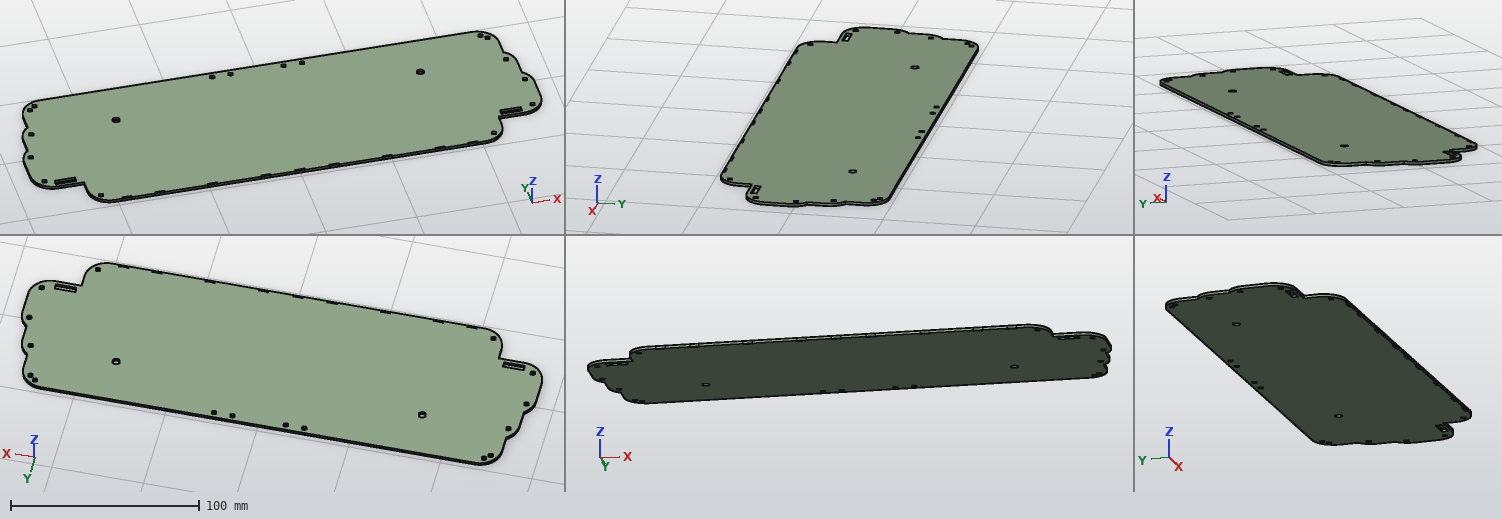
import cadquery as cq
import math

length = 280.0
width = 94.3
thickness = 1.6
corner_radius = 12.0

half_end = length / 2
half_middle = 135.5
half_back = 130.5
half_front = 113.7

back_y = width / 2
front_y = -back_y
back_step_y = back_y - 21.3
middle_step_y = back_y - 41.0
shoulder_y = front_y + 19.0

screw_diameter = 2.5
mount_diameter = 4.0
mount_x = 83.5
mount_y = back_y - 27.0
back_row_y = back_y - 3.4
back_row_x = (14.5, 24.5)
edge_screws = (
    (122.3, back_y - 4.2),
    (125.5, back_y - 7.0),
    (130.2, back_y - 27.7),
    (135.5, back_y - 47.0),
    (133.8, back_y - 69.1),
    (107.8, front_y + 6.0),
)

left_strap_x = -123.0
right_strap_x = 121.5
strap_y = shoulder_y + 3.5
strap_length = 11.2
strap_width = 3.0

fine_slot_x = (18.8, 48.0, 76.7, 95.0)
fine_slot_length = 5.0
fine_slot_width = 0.78
fine_slot_y = front_y + 0.67


def mirrored(points):
    """Return the points together with their mirror images across X = 0."""
    return [(side * x, y) for x, y in points for side in (1, -1)]


def centred_block(half_length, top_y, bottom_y):
    """Full-thickness block, symmetric about X = 0."""
    return (
        cq.Workplane("XY")
        .center(0, (top_y + bottom_y) / 2)
        .rect(2 * half_length, top_y - bottom_y)
        .extrude(thickness)
        .translate((0, 0, -thickness / 2))
    )


def rounded_step(half_length, inner_half_length, step_y):
    """Block with rounded corners whose back arcs meet the narrower body at step_y."""
    inset = half_length - inner_half_length
    drop = math.sqrt(corner_radius**2 - (corner_radius - inset) ** 2)
    block_top = step_y - drop + corner_radius
    block = centred_block(half_length, block_top, shoulder_y)
    return block.edges("|Z").fillet(corner_radius)


def make_plate():
    back = centred_block(half_back, back_y, shoulder_y)
    back = back.edges("|Z").fillet(corner_radius)
    middle = rounded_step(half_middle, half_back, back_step_y)
    ends = rounded_step(half_end, half_middle, middle_step_y)
    front = centred_block(half_front, back_step_y, front_y)
    front = front.edges("|Z and <Y").fillet(corner_radius)
    return ends.union(middle).union(back).union(front)


def cut_holes(plate, points, diameter):
    sketch = cq.Workplane("XY").pushPoints(points).circle(diameter / 2)
    return plate.cut(sketch.extrude(thickness, both=True))


def cut_slots(plate, points, slot_length, slot_width):
    sketch = cq.Workplane("XY").pushPoints(points).rect(slot_length, slot_width)
    return plate.cut(sketch.extrude(thickness, both=True))


result = make_plate()

back_row = [(x, back_row_y) for x in back_row_x]
result = cut_holes(result, mirrored(edge_screws), screw_diameter)
result = cut_holes(result, mirrored(back_row), screw_diameter)
result = cut_holes(result, mirrored([(mount_x, mount_y)]), mount_diameter)

straps = [(x, strap_y) for x in (left_strap_x, right_strap_x)]
result = cut_slots(result, straps, strap_length, strap_width)
fine_slots = [(0, fine_slot_y)] + mirrored([(x, fine_slot_y) for x in fine_slot_x])
result = cut_slots(result, fine_slots, fine_slot_length, fine_slot_width)